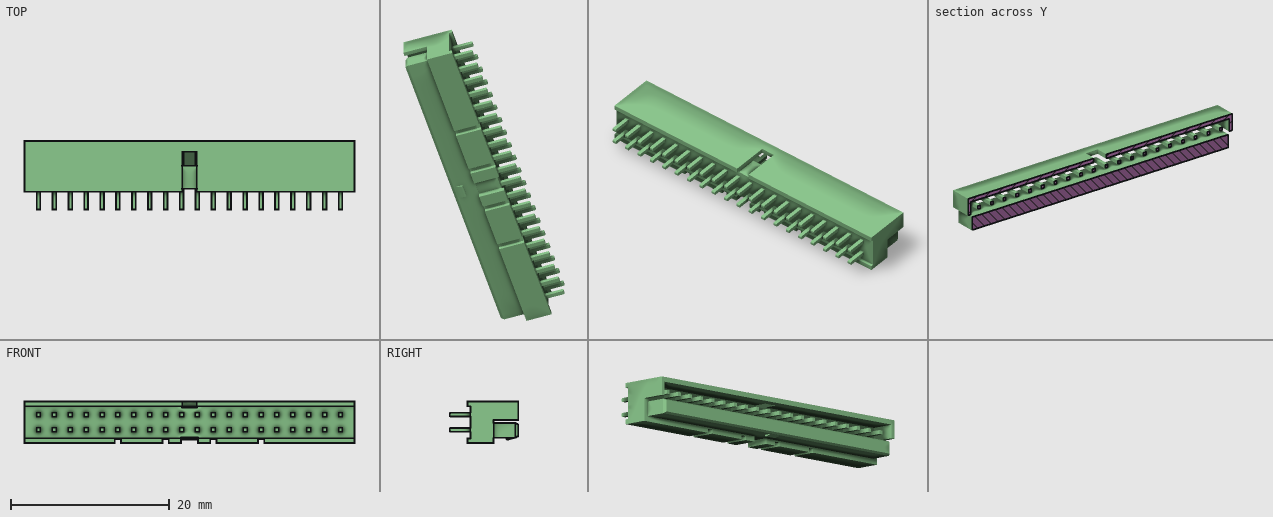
import cadquery as cq

length = 41.55
height = 5.28
depth = 6.4
half_height = height / 2

rim_thickness = 0.62
rim_depth = 0.37

shroud_depth = 3.1
base_back = depth - shroud_depth
wall_thickness = 0.5
shroud_height = 2.35
shroud_bottom = half_height - shroud_height
roof_bottom = half_height - rim_thickness

window_width = 1.85
window_back = depth - 1.37
window_cut = 0.8

pins_per_row = 20
pin_pitch = 2.0002
row_spacing = 1.9
pin_size = 0.5
pin_protrusion = 2.6
pin_tip_radius = 0.15
pin_back_clearance = 0.62
pin_front = rim_depth - pin_protrusion
pin_back = depth - pin_back_clearance

slot_width = 0.75
slot_cut = 0.5
slot_places = [-4.5, -1.5, 1.5, 4.5]
key_slot_width = 2.1
key_slot_cut = 0.75

tongue_side_gap = 0.62
tongue_length = length - 2 * tongue_side_gap
tongue_top = -0.1
tongue_bottom = -1.95
tongue_height = tongue_top - tongue_bottom
tongue_chamfer_depth = 0.37
tongue_chamfer_inset = 0.2

bump_width = 1.65
bump_drop = 0.3
bump_back = depth - 0.45
bump_front = depth - 1.55
bump_radius = 0.2


def block(width, y_range, z_range):
    """A box centred on X = 0 between two Y values and two Z values."""
    y_low, y_high = y_range
    z_low, z_high = z_range
    size = (width, y_high - y_low, z_high - z_low)
    return cq.Workplane("XY").box(*size, centered=(True, False, False)).translate((0, y_low, z_low))


def make_pin(y_back):
    """A square pin along Y with the upper and lower edges of its front tip rounded."""
    pin = block(pin_size, (pin_front, y_back), (-pin_size / 2, pin_size / 2))
    return pin.faces("<Y").edges("|X").fillet(pin_tip_radius)


def make_shell():
    """The base block with its front recess, rear shroud, roof window and underside slots."""
    shell = (
        cq.Workplane("YZ", origin=(-length / 2, 0, 0))
        .moveTo(0, half_height)
        .lineTo(depth, half_height)
        .lineTo(depth, shroud_bottom)
        .lineTo(base_back, shroud_bottom)
        .lineTo(base_back, -half_height)
        .lineTo(0, -half_height)
        .lineTo(0, -roof_bottom)
        .lineTo(rim_depth, -roof_bottom)
        .lineTo(rim_depth, roof_bottom)
        .lineTo(0, roof_bottom)
        .close()
        .extrude(length)
    )
    shell = shell.cut(
        block(length - 2 * wall_thickness, (base_back, depth), (shroud_bottom, roof_bottom))
    )
    shell = shell.cut(block(window_width, (0, window_back), (half_height - window_cut, half_height)))

    slot = block(slot_width, (0, base_back), (-half_height, slot_cut - half_height))
    for place in slot_places:
        shell = shell.cut(slot.translate((place * pin_pitch, 0, 0)))
    return shell.cut(block(key_slot_width, (0, base_back), (-half_height, key_slot_cut - half_height)))


def make_housing():
    """The shell with its pins; the upper row runs on into the shroud."""
    housing = make_shell()
    upper_pin = make_pin(pin_back).translate((0, 0, row_spacing / 2))
    lower_pin = make_pin(base_back).translate((0, 0, -row_spacing / 2))
    for index in range(pins_per_row):
        x = (index - (pins_per_row - 1) / 2) * pin_pitch
        housing = housing.union(upper_pin.translate((x, 0, 0)))
        housing = housing.union(lower_pin.translate((x, 0, 0)))
    return housing


def make_tongue():
    """The tongue with a tapered rear end and the latch bump on its underside."""
    tongue = block(tongue_length, (base_back, depth - tongue_chamfer_depth), (tongue_bottom, tongue_top))
    taper = (
        cq.Workplane("XZ", origin=(0, depth, (tongue_top + tongue_bottom) / 2))
        .rect(tongue_length - 2 * tongue_chamfer_inset, tongue_height - 2 * tongue_chamfer_inset)
        .workplane(offset=tongue_chamfer_depth)
        .rect(tongue_length, tongue_height)
        .loft(combine=True)
    )
    bump = (
        cq.Workplane("YZ", origin=(-bump_width / 2, 0, 0))
        .moveTo(bump_back, tongue_bottom)
        .lineTo(bump_front, tongue_bottom - bump_drop)
        .lineTo(bump_front, tongue_bottom)
        .close()
        .extrude(bump_width)
        .edges("|X and <Y and <Z")
        .fillet(bump_radius)
    )
    return tongue.union(taper).union(bump)


housing = make_housing()
tongue = make_tongue()

result = cq.Compound.makeCompound([housing.solids().val(), tongue.solids().val()])